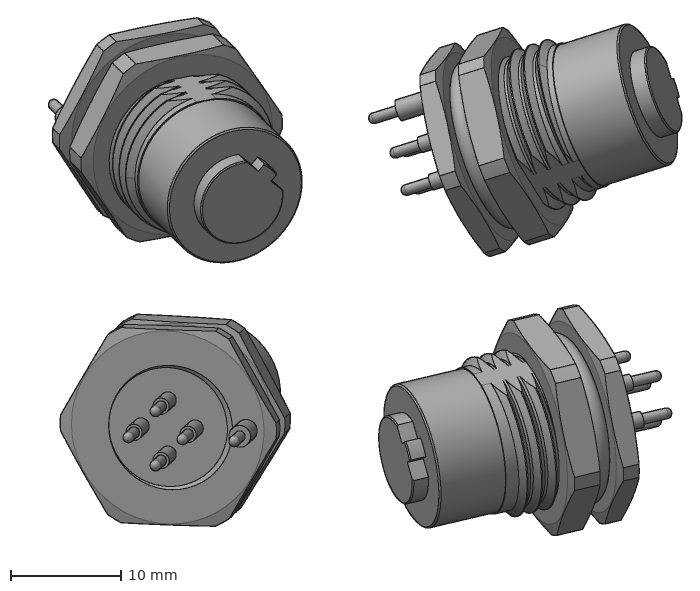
import cadquery as cq
import math


HEX_ACROSS_FLATS = 18.0
HEX_CORNER_DIAMETER = 20.0
HEX_CHAMFER_DEPTH = 0.25
HEX_FACE_RADIUS = 8.9
FLANGE_THICKNESS = 2.05
NUT_START = 3.83
NUT_THICKNESS = 3.0
NUT_TWIST = 1.2

O_RING_OUTER_RADIUS = 8.03
O_RING_SQUEEZE = 0.03
O_RING_SECTION_RADIUS = (NUT_START - FLANGE_THICKNESS) / 2 + O_RING_SQUEEZE

CORE_RADIUS = 6.82
CORE_END = 12.0
CORE_FLAT_HEIGHT = 6.75

THREAD_RADIUS = 7.5
THREAD_PITCH = 1.42
THREAD_TURNS = 4
THREAD_END = 10.88
THREAD_BASE_HALF_WIDTH = 0.58
THREAD_CREST_HALF_WIDTH = 0.06
THREAD_ROOT_OVERLAP = 0.3
FADE_ANGLE = 120.0
FADE_SECTIONS = 7
FADE_FINAL_SCALE = 0.05

SLEEVE_RADIUS = 6.7
SLEEVE_END = 18.47
SLEEVE_CHAMFER = 0.15

INSERT_RADIUS = 4.1
INSERT_END = 20.03
INSERT_CHAMFER = 0.12
KEY_ANGLE = 45.0
KEY_WIDTH = 1.77
KEY_FLAT_HEIGHT = 3.13

RECESS_DEPTH = 0.2
RECESS_FLOOR_RADIUS = 5.48
RECESS_RIM_RADIUS = 5.73
RECESS_RIM_OFFSET = 0.26

PIN_TIP = -6.0
PIN_SHOULDER = -3.0
PIN_RADIUS = 0.5
CONTACT_SHOULDER_RADIUS = 0.75
CONTACT_CIRCLE_RADIUS = 2.5
CONTACT_COUNT = 4
GROUND_SHOULDER_RADIUS = 1.0
GROUND_PIN_Y = -7.28


def cylinder(start, end, radius, y=0.0, z=0.0):
    """Cylinder along X between two stations."""
    return cq.Workplane("YZ", origin=(start, y, z)).circle(radius).extrude(end - start)


def chamfered_hexagon(start, thickness):
    """Hexagonal plate with corners at +/-Y, turned to a round and chamfered on both faces."""
    corner_radius = HEX_CORNER_DIAMETER / 2
    end = start + thickness
    sharp_diameter = HEX_ACROSS_FLATS / math.cos(math.pi / 6)
    plate = cq.Workplane("YZ", origin=(start, 0, 0)).polygon(6, sharp_diameter).extrude(thickness)
    turned_blank = (
        cq.Workplane("XY")
        .moveTo(start, 0)
        .lineTo(start, HEX_FACE_RADIUS)
        .lineTo(start + HEX_CHAMFER_DEPTH, corner_radius)
        .lineTo(end - HEX_CHAMFER_DEPTH, corner_radius)
        .lineTo(end, HEX_FACE_RADIUS)
        .lineTo(end, 0)
        .close()
        .revolve(360, (0, 0, 0), (1, 0, 0))
    )
    return plate.intersect(turned_blank)


def o_ring():
    """Torus seated between the flange and the nut."""
    mid_plane = (FLANGE_THICKNESS + NUT_START) / 2
    ring_radius = O_RING_OUTER_RADIUS - O_RING_SECTION_RADIUS
    return (
        cq.Workplane("XY")
        .center(mid_plane, ring_radius)
        .circle(O_RING_SECTION_RADIUS)
        .revolve(360, (0, -ring_radius), (1, -ring_radius))
    )


def thread_profile(scale=1.0):
    """Thread section as (radius, axial) points, symmetric about its crest."""
    root = CORE_RADIUS - THREAD_ROOT_OVERLAP
    crest = CORE_RADIUS + scale * (THREAD_RADIUS - CORE_RADIUS)
    base_half = scale * THREAD_BASE_HALF_WIDTH
    crest_half = scale * THREAD_CREST_HALF_WIDTH
    return [
        (root, -base_half),
        (CORE_RADIUS, -base_half),
        (crest, -crest_half),
        (crest, crest_half),
        (CORE_RADIUS, base_half),
        (root, base_half),
    ]


def fade_wire(fraction, start_height):
    """Thread section partway along the run-out, reduced in size and turned about local Z."""
    angle = math.radians(fraction * FADE_ANGLE)
    height = start_height + THREAD_PITCH * fraction * FADE_ANGLE / 360
    scale = 1 - fraction * (1 - FADE_FINAL_SCALE)
    points = [
        cq.Vector(radius * math.cos(angle), radius * math.sin(angle), height + axial)
        for radius, axial in thread_profile(scale)
    ]
    return cq.Wire.makePolygon(points, close=True)


def thread():
    """Helical ridge with a fading run-out, built along local Z from a start on the -Y side."""
    length = THREAD_PITCH * THREAD_TURNS
    helix = cq.Wire.makeHelix(THREAD_PITCH, length, CORE_RADIUS)
    ridge = (
        cq.Workplane("XZ")
        .polyline(thread_profile())
        .close()
        .sweep(cq.Workplane("XY").add(helix), isFrenet=True)
        .val()
    )
    sections = [fade_wire(i / (FADE_SECTIONS - 1), length) for i in range(FADE_SECTIONS)]
    run_out = cq.Solid.makeLoft(sections)
    axis_frame = cq.Plane(origin=(THREAD_END - length, 0, 0), xDir=(0, -1, 0), normal=(1, 0, 0))
    placement = cq.Location(axis_frame)
    return ridge.moved(placement), run_out.moved(placement)


def threaded_barrel():
    """Threaded core with flats across the top and bottom."""
    between_flats = cq.Workplane("XY").box(
        CORE_END, 2 * HEX_CORNER_DIAMETER, 2 * CORE_FLAT_HEIGHT, centered=(False, True, True)
    )
    core = cylinder(0, CORE_END, CORE_RADIUS).rotate((0, 0, 0), (1, 0, 0), 90)
    barrel = core.intersect(between_flats)
    for piece in thread():
        barrel = barrel.union(cq.Workplane(piece).intersect(between_flats))
    return barrel


def sleeve():
    """Plain cylinder in front of the thread."""
    return cylinder(CORE_END, SLEEVE_END, SLEEVE_RADIUS).faces(">X").chamfer(SLEEVE_CHAMFER)


def insert():
    """Round contact insert, flattened on both sides of its key."""
    body = cylinder(SLEEVE_END, INSERT_END, INSERT_RADIUS).faces(">X").chamfer(INSERT_CHAMFER)
    length = INSERT_END - SLEEVE_END
    cut_centre_y = KEY_FLAT_HEIGHT + INSERT_RADIUS / 2
    cut_centre_z = (KEY_WIDTH + INSERT_RADIUS) / 2
    for side in (-1, 1):
        side_cut = (
            cq.Workplane("XY", origin=(SLEEVE_END, cut_centre_y, side * cut_centre_z))
            .box(length, INSERT_RADIUS, INSERT_RADIUS, centered=(False, True, True))
            .rotate((0, 0, 0), (1, 0, 0), KEY_ANGLE)
        )
        body = body.cut(side_cut)
    return body


def face_recess():
    """Tapered recess whose rim is set off-centre from its round floor."""
    return (
        cq.Workplane("YZ")
        .center(-RECESS_RIM_OFFSET, 0)
        .circle(RECESS_RIM_RADIUS)
        .workplane(offset=RECESS_DEPTH)
        .center(RECESS_RIM_OFFSET, 0)
        .circle(RECESS_FLOOR_RADIUS)
        .loft()
    )


def pin(shoulder_radius, y, z):
    """Round-tipped pin with a thicker shoulder, rooted in the flange."""
    shoulder = cylinder(PIN_SHOULDER, FLANGE_THICKNESS, shoulder_radius, y, z)
    tip_start = PIN_TIP + PIN_RADIUS
    shank = cylinder(tip_start, PIN_SHOULDER, PIN_RADIUS, y, z)
    tip = cq.Workplane("XY", origin=(tip_start, y, z)).sphere(PIN_RADIUS)
    return shoulder.union(shank).union(tip)


def contact_pins():
    """Pins evenly spaced on the contact circle."""
    pins = cq.Workplane("XY")
    for index in range(CONTACT_COUNT):
        angle = 2 * math.pi * index / CONTACT_COUNT
        y = CONTACT_CIRCLE_RADIUS * math.cos(angle)
        z = CONTACT_CIRCLE_RADIUS * math.sin(angle)
        pins = pins.add(pin(CONTACT_SHOULDER_RADIUS, y, z))
    return pins.combine()


flange = chamfered_hexagon(0, FLANGE_THICKNESS)
nut = chamfered_hexagon(NUT_START, NUT_THICKNESS).rotate((0, 0, 0), (1, 0, 0), NUT_TWIST)

housing = threaded_barrel().union(flange).union(o_ring()).union(nut).union(sleeve()).union(insert())
housing = housing.cut(face_recess())
result = housing.union(contact_pins()).union(pin(GROUND_SHOULDER_RADIUS, GROUND_PIN_Y, 0))